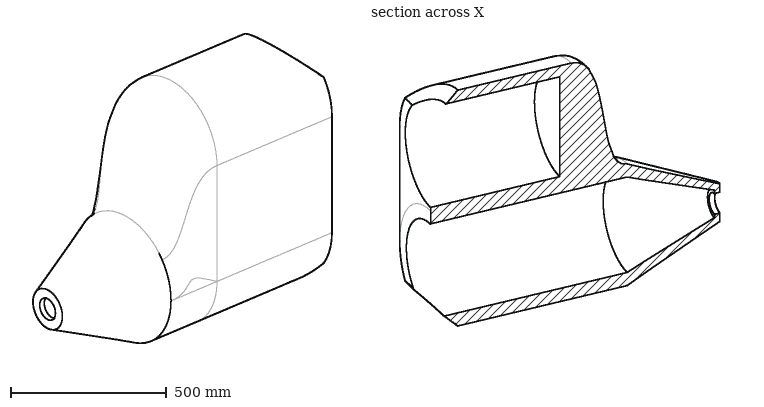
import cadquery as cq
import math

body_radius = 225.0
axis_spacing = 420.0
straight_length = 504.42
shoulder_length = 200.0
nozzle_tip_radius = 70.0
nozzle_half_angle = 25.0
lip_bore_diameter = 75.0
lip_length = 20.0
nozzle_throat_diameter = 100.0
lower_bore_diameter = 350.0
chamfer = 98.0
pocket_diameter = 366.0

shoulder_start_pull = 148.0
shoulder_end_pull = 111.0
side_half_angle = math.radians(36)
shoulder_steps = 16
fusing_tolerance = 0.01

back_y = shoulder_length + straight_length
pocket_wall = body_radius - pocket_diameter / 2
pocket_depth = straight_length - pocket_wall
nozzle_length = (body_radius - nozzle_tip_radius) / math.tan(math.radians(nozzle_half_angle))
top_z = axis_spacing + body_radius


def cylinder_along_y(radius, start_y, end_y, axis_z):
    """Cylinder parallel to Y between two Y positions."""
    base = cq.Workplane("XZ", origin=(0, start_y, axis_z)).circle(radius)
    return base.extrude(start_y - end_y)


def make_straight_body():
    """Full-height body with an obround cross-section."""
    base = cq.Workplane("XZ", origin=(0, back_y, axis_spacing / 2))
    outline = base.slot2D(axis_spacing + 2 * body_radius, 2 * body_radius, 90)
    return outline.extrude(straight_length)


def blend(start, end, share):
    """Point part of the way from start to end."""
    return tuple(p + share * (q - p) for p, q in zip(start, end))


def shoulder_section(share, y):
    """Closed section of the shoulder at one Y, from the obround (share 0) to the circle (share 1).

    Each flat side bends into a side arc of the circle while the rounded top becomes its upper arc.
    The lower edge is a chord hidden inside the lower cylinder.
    """
    circle_corner_x = body_radius * math.cos(side_half_angle)
    circle_corner_z = body_radius * math.sin(side_half_angle)
    corner_x, upper_z = blend((body_radius, axis_spacing), (circle_corner_x, circle_corner_z), share)
    lower_z = -share * circle_corner_z
    middle_z = (1 - share) * axis_spacing / 2
    crown_z = (1 - share) * axis_spacing + body_radius
    outline = cq.Workplane("XZ", origin=(0, y, 0)).moveTo(corner_x, lower_z)
    if share == 0:
        outline = outline.lineTo(corner_x, upper_z)
    else:
        outline = outline.threePointArc((body_radius, middle_z), (corner_x, upper_z))
    outline = outline.threePointArc((0, crown_z), (-corner_x, upper_z))
    if share == 0:
        outline = outline.lineTo(-corner_x, lower_z)
    else:
        outline = outline.threePointArc((-body_radius, middle_z), (-corner_x, lower_z))
    return outline.close().val()


def make_shoulder():
    """Loft from the obround to the circle along an S-curve."""
    sections = []
    for step in range(shoulder_steps + 1):
        t = step / shoulder_steps
        share = 3 * t**2 - 2 * t**3
        y = (
            shoulder_length * (1 - t) ** 3
            + 3 * (shoulder_length - shoulder_start_pull) * t * (1 - t) ** 2
            + 3 * shoulder_end_pull * t**2 * (1 - t)
        )
        sections.append(shoulder_section(share, y))
    return cq.Workplane(cq.Solid.makeLoft(sections))


def make_nozzle():
    """Cone that narrows from the body to the nozzle tip."""
    return (
        cq.Workplane("XY")
        .lineTo(body_radius, 0)
        .lineTo(nozzle_tip_radius, -nozzle_length)
        .lineTo(0, -nozzle_length)
        .close()
        .revolve(360, (0, 0, 0), (0, 1, 0))
    )


def make_lower_bore():
    """Bore on the nozzle axis: outlet lip, cone widening to the body, then straight to the back."""
    lip_y = lip_length - nozzle_length
    return (
        cq.Workplane("XY")
        .moveTo(0, -nozzle_length)
        .lineTo(lip_bore_diameter / 2, -nozzle_length)
        .lineTo(lip_bore_diameter / 2, lip_y)
        .lineTo(nozzle_throat_diameter / 2, lip_y)
        .lineTo(lower_bore_diameter / 2, 0)
        .lineTo(lower_bore_diameter / 2, back_y)
        .lineTo(0, back_y)
        .close()
        .revolve(360, (0, 0, 0), (0, 1, 0))
    )


def back_chamfer(edge_z, inward):
    """Wedge that bevels the back at edge_z; inward is the Z sign toward the body."""
    return (
        cq.Workplane("YZ")
        .moveTo(back_y, edge_z)
        .lineTo(back_y - chamfer, edge_z)
        .lineTo(back_y, edge_z + inward * chamfer)
        .close()
        .extrude(body_radius, both=True)
    )


lower_cylinder = cylinder_along_y(body_radius, 0, back_y, 0)
pocket = cylinder_along_y(pocket_diameter / 2, back_y - pocket_depth, back_y, axis_spacing)
result = (
    make_straight_body()
    .union(lower_cylinder, clean=False)
    .union(make_nozzle(), clean=False)
    .union(make_shoulder(), clean=False, tol=fusing_tolerance)
    .cut(back_chamfer(top_z, -1), clean=False)
    .cut(back_chamfer(-body_radius, 1), clean=False)
    .cut(pocket, clean=False)
    .cut(make_lower_bore(), clean=False)
)